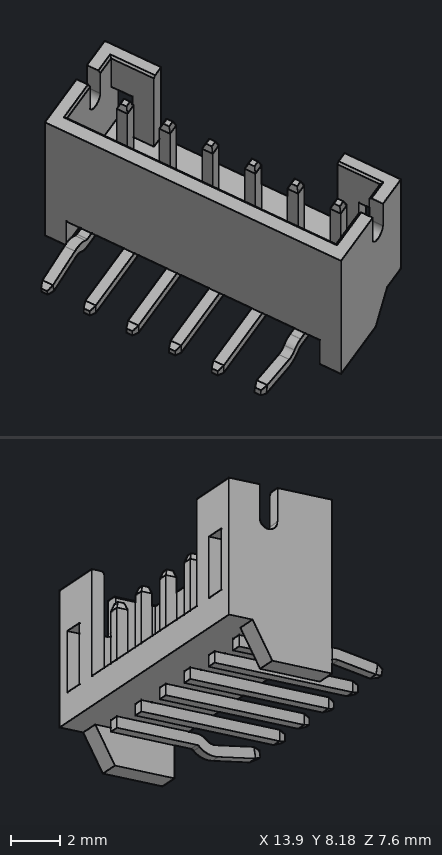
import cadquery as cq
import math

length = 13.9
depth = 4.8
height = 7.6

end_wall = 0.64
front_wall = 0.7
rear_wall = 0.58
rim_chamfer = 0.1
floor_thickness = front_wall
deck_edge = depth - 2.25
deck_rise = 0.61

underside = 1.61
foot_width = 1.0
foot_taper_top = depth - 1.1
foot_taper_bottom = depth - 2.02

rear_gap_width = 8.6
window_width = 1.0
window_top = height - 2.0
notch_width = 0.82
notch_bottom = 5.73
notch_y = depth - 1.85

pin_count = 6
pin_pitch = 2.0
pin_width = 0.5
pin_top = 6.67
pin_y = depth - 1.68
pin_reach = 3.38
tip_length = 0.3
tip_width = 0.29

kinked_reach = 3.35
bend_y = -0.33
bend_radius = 0.2
crown_y = -1.17
crown_radius = 1.0

well_floor = underside + floor_thickness
deck_floor = well_floor + deck_rise
well_edge = deck_edge - deck_rise
half_pin = pin_width / 2
tail_z = underside - half_pin
cavity_length = length - 2 * end_wall
cavity_rear = depth - rear_wall
pin_positions = [(i - (pin_count - 1) / 2) * pin_pitch for i in range(pin_count)]


def block(x_range, y_range, z_range):
    """Axis-aligned box between the given limits."""
    (x0, x1), (y0, y1), (z0, z1) = x_range, y_range, z_range
    return cq.Workplane("XY").box(x1 - x0, y1 - y0, z1 - z0, centered=False).translate((x0, y0, z0))


def extrude_along_x(outline, width):
    """Extrude a closed outline in the YZ plane symmetrically about X = 0."""
    return outline.extrude(width / 2, both=True)


def housing_shell():
    """Side profile with tapered feet, cleared between the feet."""
    profile = (
        cq.Workplane("YZ")
        .moveTo(0, 0)
        .lineTo(foot_taper_bottom, 0)
        .lineTo(foot_taper_top, underside)
        .lineTo(depth, underside)
        .lineTo(depth, height)
        .lineTo(0, height)
        .close()
    )
    inner_foot = length / 2 - foot_width
    clearance = block((-inner_foot, inner_foot), (0, depth), (0, underside))
    return extrude_along_x(profile, length).cut(clearance)


def cavity():
    """Plug cavity with a stepped floor joined by a slope."""
    profile = (
        cq.Workplane("YZ")
        .moveTo(front_wall, well_floor)
        .lineTo(well_edge, well_floor)
        .lineTo(deck_edge, deck_floor)
        .lineTo(cavity_rear, deck_floor)
        .lineTo(cavity_rear, height)
        .lineTo(front_wall, height)
        .close()
    )
    return extrude_along_x(profile, cavity_length)


def rim_flare():
    """Lead-in chamfer around the cavity mouth."""
    cavity_depth = cavity_rear - front_wall
    return (
        cq.Workplane("XY", origin=(0, (front_wall + cavity_rear) / 2, height))
        .rect(cavity_length + 2 * rim_chamfer, cavity_depth + 2 * rim_chamfer)
        .workplane(offset=-rim_chamfer)
        .rect(cavity_length, cavity_depth)
        .loft()
    )


def rear_gap():
    """Wide opening through the rear wall, down to the raised floor."""
    half_gap = rear_gap_width / 2
    return block((-half_gap, half_gap), (cavity_rear, depth), (deck_floor, height))


def rear_window(side):
    """Window through the rear wall beside one end wall; side is -1 or +1."""
    outer_x = side * cavity_length / 2
    inner_x = outer_x - side * window_width
    return block(sorted((inner_x, outer_x)), (cavity_rear, depth), (deck_floor, window_top))


def end_notches():
    """Round-bottomed notches through both end walls."""
    radius = notch_width / 2
    profile = (
        cq.Workplane("YZ")
        .moveTo(notch_y - radius, height)
        .lineTo(notch_y - radius, notch_bottom + radius)
        .threePointArc((notch_y, notch_bottom), (notch_y + radius, notch_bottom + radius))
        .lineTo(notch_y + radius, height)
        .close()
    )
    return extrude_along_x(profile, length)


def pin_hole(x):
    """Square hole through the raised floor, matching a pin."""
    return block(
        (x - half_pin, x + half_pin),
        (pin_y - half_pin, pin_y + half_pin),
        (underside, deck_floor),
    )


def make_housing():
    body = housing_shell().cut(cavity()).cut(rim_flare()).cut(rear_gap()).cut(end_notches())
    for side in (-1, 1):
        body = body.cut(rear_window(side))
    for x in pin_positions:
        body = body.cut(pin_hole(x))
    return body


def pin_tip(base, direction):
    """Tapered square tip that starts at base and points along direction."""
    plane = cq.Plane(origin=base, xDir=(1, 0, 0), normal=direction)
    return (
        cq.Workplane(plane)
        .rect(pin_width, pin_width)
        .workplane(offset=tip_length)
        .rect(tip_width, tip_width)
        .loft()
    )


def pin_post():
    """Upright contact with its tip, ending in the corner above the tail."""
    post = block(
        (-half_pin, half_pin),
        (pin_y - half_pin, pin_y + half_pin),
        (underside - pin_width, pin_top - tip_length),
    )
    return post.union(pin_tip((0, pin_y, pin_top - tip_length), (0, 0, 1)))


def straight_tail():
    shank_end = tip_length - pin_reach
    shank = block(
        (-half_pin, half_pin),
        (shank_end, pin_y),
        (tail_z - half_pin, tail_z + half_pin),
    )
    return shank.union(pin_tip((0, shank_end, tail_z), (0, -1, 0)))


def kinked_tail(bend):
    """Tail that kinks up (bend = 1) or down (bend = -1), then slopes back to its own axis.

    The strip is laid out as (y, rise), where rise is measured from the tail
    axis towards the kink: a first bend, a crown of opposite curvature that is
    tangent to it, and a straight run from the crown to the tip.
    """
    bend_rise = half_pin + bend_radius
    centre_gap = bend_radius + crown_radius
    climb = math.asin((bend_y - crown_y) / centre_gap)
    crown_rise = bend_rise - centre_gap * math.cos(climb)

    run_y = crown_y + kinked_reach
    fall = math.asin((crown_radius - half_pin) / math.hypot(run_y, crown_rise))
    fall -= math.atan2(-crown_rise, run_y)

    def to_yz(y, rise):
        return y, tail_z + bend * rise

    def on_bend(radius, angle):
        return to_yz(bend_y - radius * math.sin(angle), bend_rise - radius * math.cos(angle))

    def on_crown(radius, angle):
        return to_yz(crown_y + radius * math.sin(angle), crown_rise + radius * math.cos(angle))

    def shank_end(offset):
        y = -kinked_reach + tip_length * math.cos(fall) - offset * math.sin(fall)
        return to_yz(y, tip_length * math.sin(fall) + offset * math.cos(fall))

    outer_bend = bend_radius + pin_width
    inner_crown = crown_radius - pin_width
    crown_middle = (climb - fall) / 2
    outline = (
        cq.Workplane("YZ")
        .moveTo(*to_yz(pin_y, half_pin))
        .lineTo(*on_bend(bend_radius, 0))
        .threePointArc(on_bend(bend_radius, climb / 2), on_bend(bend_radius, climb))
        .threePointArc(on_crown(crown_radius, crown_middle), on_crown(crown_radius, -fall))
        .lineTo(*shank_end(half_pin))
        .lineTo(*shank_end(-half_pin))
        .lineTo(*on_crown(inner_crown, -fall))
        .threePointArc(on_crown(inner_crown, crown_middle), on_crown(inner_crown, climb))
        .threePointArc(on_bend(outer_bend, climb / 2), on_bend(outer_bend, 0))
        .lineTo(*to_yz(pin_y, -half_pin))
        .close()
    )
    tip = pin_tip((0, *shank_end(0)), (0, -math.cos(fall), -bend * math.sin(fall)))
    return extrude_along_x(outline, pin_width).union(tip)


def make_pin(index):
    """One contact; the first pin kinks up, the last kinks down, the rest are straight."""
    if index == 0:
        tail = kinked_tail(1)
    elif index == pin_count - 1:
        tail = kinked_tail(-1)
    else:
        tail = straight_tail()
    return pin_post().union(tail).translate((pin_positions[index], 0, 0))


housing = make_housing()
pins = [make_pin(index) for index in range(pin_count)]
result = cq.Compound.makeCompound([housing.val(), *[pin.val() for pin in pins]])